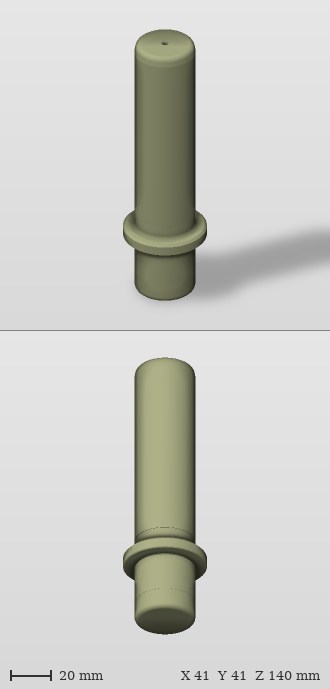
import cadquery as cq
import math

length = 140.0
shaft_radius = 15.0
flange_diameter = 41.0
flange_radius = flange_diameter / 2
neck_radius = shaft_radius - 0.3
pilot_radius = shaft_radius - 0.1

pilot_top = 10.1
flange_bottom = 30.1
flange_top = 36.1
shaft_bottom = 44.2
taper_bottom = 135.2

foot_fillet = 2.1
neck_fillet = 2.0
flange_top_chamfer = 1.1
flange_bottom_chamfer = 0.4
groove_width = 1.1
groove_depth = 0.7
groove_shoulder = 0.7
tip_fillet_height = 2.2
tip_taper = 0.4
tip_flat_radius = 12.2

centre_mouth_radius = 1.8
centre_bore_radius = 1.0
centre_bore_depth = 4.2
countersink_angle = 60.0
point_angle = 120.0


def round_off(outline, centre, radius, start_angle, end_angle):
    """Append a circular arc; the outline must already stand at its start angle."""
    def on_arc(angle):
        turn = math.radians(angle)
        return (centre[0] + radius * math.cos(turn), centre[1] + radius * math.sin(turn))

    return outline.threePointArc(on_arc((start_angle + end_angle) / 2), on_arc(end_angle))


def pin_body():
    """Revolve the half profile, running from the foot up to the tip."""
    foot_flat = pilot_radius - foot_fillet
    groove_radius = shaft_radius - groove_depth
    tip_edge_radius = shaft_radius - tip_taper

    outline = cq.Workplane("XZ").lineTo(foot_flat, 0)
    outline = round_off(outline, (foot_flat, foot_fillet), foot_fillet, -90, 0)

    outline = (
        outline.lineTo(pilot_radius, pilot_top)
        .lineTo(shaft_radius, pilot_top)
        .lineTo(shaft_radius, flange_bottom - groove_width)
        .lineTo(groove_radius, flange_bottom - groove_width + groove_shoulder)
        .lineTo(groove_radius, flange_bottom)
    )

    outline = (
        outline.lineTo(flange_radius - flange_bottom_chamfer, flange_bottom)
        .lineTo(flange_radius, flange_bottom + flange_bottom_chamfer)
        .lineTo(flange_radius, flange_top - flange_top_chamfer)
        .lineTo(flange_radius - flange_top_chamfer, flange_top)
    )

    neck_arc_centre = (neck_radius + neck_fillet, flange_top + neck_fillet)
    outline = outline.lineTo(neck_arc_centre[0], flange_top)
    outline = round_off(outline, neck_arc_centre, neck_fillet, 270, 180)

    return (
        outline.lineTo(neck_radius, shaft_bottom)
        .lineTo(shaft_radius, shaft_bottom)
        .lineTo(shaft_radius, taper_bottom)
        .lineTo(tip_edge_radius, length - tip_fillet_height)
        .tangentArcPoint((tip_flat_radius, length), relative=False)
        .lineTo(0, length)
        .close()
        .revolve(360, (0, 0), (0, 1))
    )


def centre_hole():
    """Countersunk centre bore with a conical bottom."""
    countersink_slope = math.tan(math.radians(countersink_angle / 2))
    countersink_depth = (centre_mouth_radius - centre_bore_radius) / countersink_slope
    point_depth = centre_bore_radius / math.tan(math.radians(point_angle / 2))
    return (
        cq.Workplane("XZ")
        .moveTo(0, length)
        .lineTo(centre_mouth_radius, length)
        .lineTo(centre_bore_radius, length - countersink_depth)
        .lineTo(centre_bore_radius, length - centre_bore_depth)
        .lineTo(0, length - centre_bore_depth - point_depth)
        .close()
        .revolve(360, (0, 0), (0, 1))
    )


result = pin_body().cut(centre_hole())